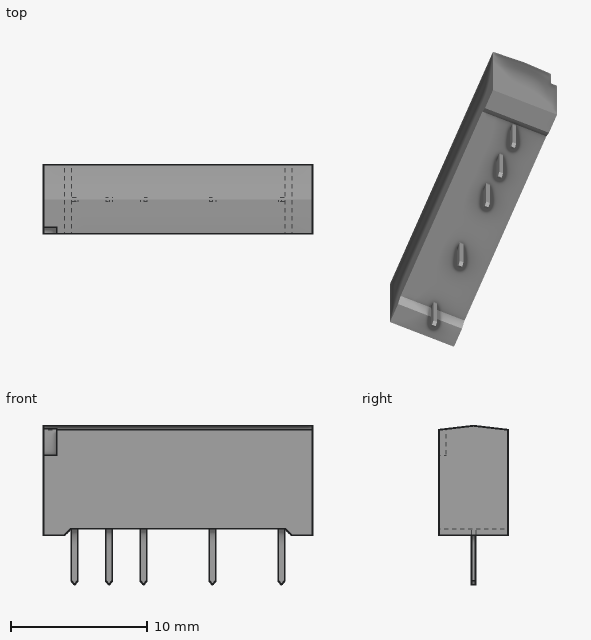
import cadquery as cq

length = 19.8
width = 5.09
total_height = 11.7
pin_drop = 3.65
roof_rise = 0.3
foot_height = 0.48
foot_length = 1.55
foot_slope = 0.5

notch_length = 0.99
notch_width = 0.5
notch_depth = 1.88

pin_pitch = 2.53
pin_positions = (0, 1, 2, 4, 6)
pin_width = 0.5
pin_thickness = 0.3
tip_height = 0.3
pin_row_middle = 3

body_height = total_height - pin_drop
eaves_height = body_height - roof_rise


def make_body():
    gable = (
        cq.Workplane("YZ")
        .polyline([
            (-width / 2, 0),
            (width / 2, 0),
            (width / 2, eaves_height),
            (0, body_height),
            (-width / 2, eaves_height),
        ])
        .close()
        .extrude(length / 2, both=True)
    )
    foot_edge = length / 2 - foot_length
    recess_edge = foot_edge - foot_slope
    recess = (
        cq.Workplane("XZ")
        .polyline([
            (-foot_edge, 0),
            (foot_edge, 0),
            (recess_edge, foot_height),
            (-recess_edge, foot_height),
        ])
        .close()
        .extrude(width / 2, both=True)
    )
    notch = (
        cq.Workplane("XY", origin=(-length / 2, -width / 2, eaves_height - notch_depth))
        .rect(2 * notch_length, 2 * notch_width)
        .extrude(notch_depth + roof_rise)
    )
    return gable.cut(recess).cut(notch)


def make_pin(x):
    shoulder = tip_height - pin_drop
    half_width = pin_width / 2
    return (
        cq.Workplane("XZ")
        .polyline([
            (x - half_width, foot_height),
            (x - half_width, shoulder),
            (x, -pin_drop),
            (x + half_width, shoulder),
            (x + half_width, foot_height),
        ])
        .close()
        .extrude(pin_thickness / 2, both=True)
    )


result = make_body()
for position in pin_positions:
    result = result.union(make_pin((position - pin_row_middle) * pin_pitch))